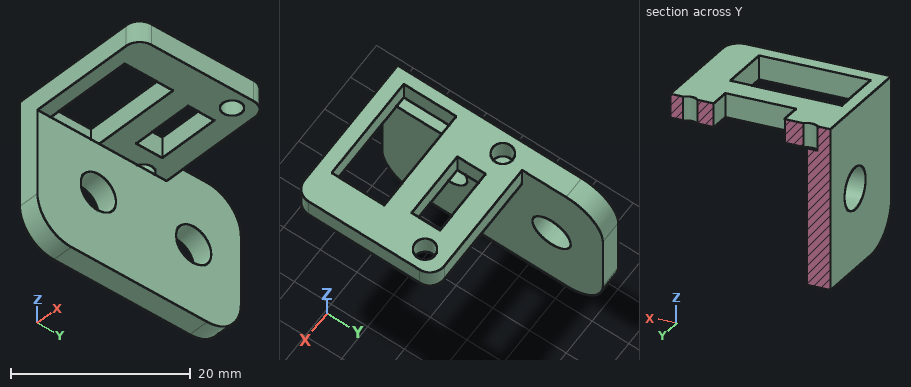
import cadquery as cq

thickness = 3.0

upright_length = 30.1
upright_height = 20.0
upright_corner_radius = 5.0
mount_hole_diameter = 5.2
mount_hole_spacing = 14.1
first_mount_hole_y = 9.0

shelf_width = 20.0
shelf_depth = 19.1
shelf_corner_radius = 2.0
screw_hole_diameter = 2.7
screw_hole_spacing = 15.0
screw_hole_edge_distance = 3.0

small_window_width = 8.8
small_window_depth = 3.85
small_window_x = 5.75
small_window_y = 12.2
large_window_width = 13.9
large_window_depth = 7.15
large_window_x = 1.6
large_window_y = 1.97


def make_upright():
    """Upright plate, rounded everywhere except where it meets the shelf's front edge."""
    plate = cq.Workplane("XY").box(thickness, upright_length, upright_height, centered=False)
    plate = plate.translate((0, 0, -upright_height))
    plate = plate.edges("|X and (<Z or >Y)").fillet(upright_corner_radius)
    hole_centers = [
        (first_mount_hole_y + i * mount_hole_spacing, -upright_height / 2) for i in range(2)
    ]
    holes = (
        cq.Workplane("YZ")
        .pushPoints(hole_centers)
        .circle(mount_hole_diameter / 2)
        .extrude(thickness)
    )
    return plate.cut(holes)


def make_shelf():
    """Horizontal plate with its two free corners rounded."""
    plate = cq.Workplane("XY").box(shelf_width, shelf_depth, thickness, centered=False)
    plate = plate.translate((0, 0, -thickness))
    return plate.edges("|Z and >X").fillet(shelf_corner_radius)


def make_screw_holes():
    """Pair of round holes, centered across the shelf width, through the shelf thickness."""
    y = shelf_depth - screw_hole_edge_distance
    first_x = (shelf_width - screw_hole_spacing) / 2
    return (
        cq.Workplane("XY")
        .pushPoints([(first_x + i * screw_hole_spacing, y) for i in range(2)])
        .circle(screw_hole_diameter / 2)
        .extrude(-thickness)
    )


def make_window(x, y, width, depth):
    """Rectangular cutter through the shelf thickness, placed by its low-X, low-Y corner."""
    cutter = cq.Workplane("XY").box(width, depth, thickness, centered=False)
    return cutter.translate((x, y, -thickness))


small_window = make_window(small_window_x, small_window_y, small_window_width, small_window_depth)
large_window = make_window(large_window_x, large_window_y, large_window_width, large_window_depth)

result = (
    make_upright()
    .union(make_shelf())
    .cut(make_screw_holes())
    .cut(small_window)
    .cut(large_window)
)